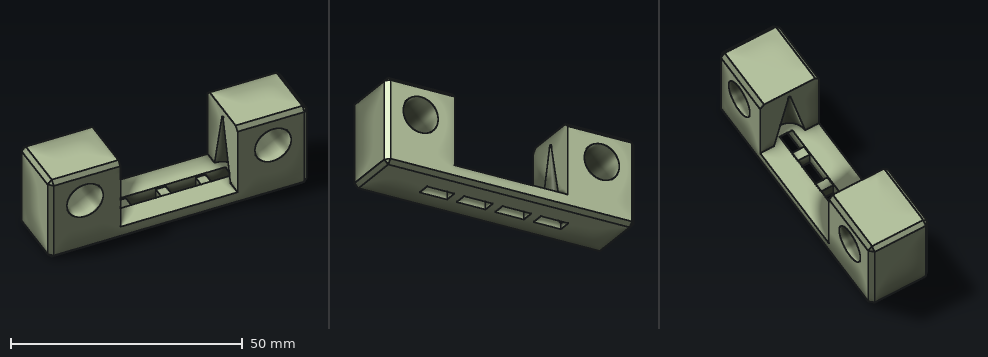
import cadquery as cq

width = 15.0
length = 61.95
height = 21.0
edge_chamfer = 1.0

gap_length = 28.0
base_thickness = 3.5
gap_end = gap_length / 2

hole_diameter = 8.7
hole_height = 13.5
block_center = (length / 2 + gap_end) / 2

slot_width = 3.2
slot_overrun = 1.4
undercut = 2.1

bar_length = 2.4
bar_pitch = 9.55
bar_drop = 0.5
bar_thickness = base_thickness - bar_drop
bar_count = 3

recess_base_radius = 3.95
recess_tip_radius = 0.25
recess_height = 15.3


def chamfered_block():
    block = cq.Workplane("XY").box(width, length, height, centered=(True, True, False))
    return block.edges().chamfer(edge_chamfer)


def gap():
    plane = cq.Workplane("XY", origin=(0, 0, base_thickness))
    return plane.box(width, gap_length, height, centered=(True, True, False))


def cross_holes():
    return (
        cq.Workplane("YZ")
        .pushPoints([(-block_center, hole_height), (block_center, hole_height)])
        .circle(hole_diameter / 2)
        .extrude(width / 2, both=True)
    )


def slot():
    top_end = gap_end + slot_overrun
    bottom_end = top_end + undercut
    undercut_bottom = base_thickness - undercut
    profile = [
        (-bottom_end, 0),
        (bottom_end, 0),
        (bottom_end, undercut_bottom),
        (top_end, base_thickness),
        (-top_end, base_thickness),
        (-bottom_end, undercut_bottom),
    ]
    return cq.Workplane("YZ").polyline(profile).close().extrude(slot_width / 2, both=True)


def bars():
    return (
        cq.Workplane("XY")
        .rarray(0.6, bar_pitch, 1, bar_count)
        .box(slot_width, bar_length, bar_thickness, centered=(True, True, False))
    )


def tapered_recess(y):
    """Upright cone standing on the base, with its axis in the inner face of an end block."""
    foot = cq.Vector(0, y, base_thickness)
    cone = cq.Solid.makeCone(recess_base_radius, recess_tip_radius, recess_height, pnt=foot)
    return cq.Workplane(obj=cone)


result = chamfered_block().cut(gap()).cut(cross_holes())
for recess_y in (-gap_end, gap_end):
    result = result.cut(tapered_recess(recess_y))
result = result.cut(slot()).union(bars())